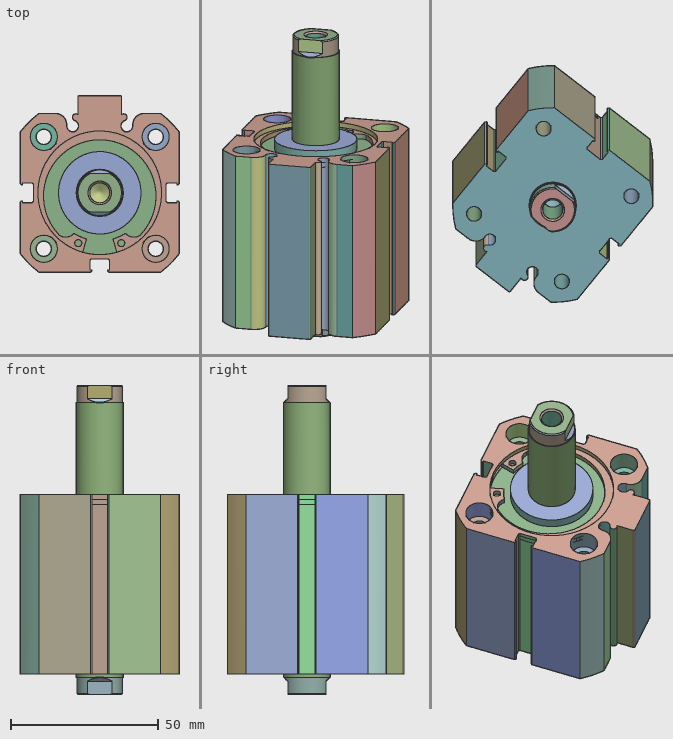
import cadquery as cq
import math

body_width = 54.0
half_width = body_width / 2
body_height = 61.0
corner_radius = 34.0

slot_half_width = 3.3
slot_depth = 4.5
slot_lip_half_width = 2.7
slot_lip_thickness = 0.85
slot_lip_chamfer = 0.45
slot_floor_chamfer = 0.4

rail_half_width = 7.45
rail_top_y = 33.0
rail_edge_radius = 0.5
barb_half_width = 9.3
barb_y = 25.7
barb_top_y = 26.65
groove_radius = 1.95
groove_center_x = 9.2
groove_center_y = 22.7
groove_neck_x = 8.45
groove_lip_radius = 4.0

mount_spacing = 38.0
mount_diameter = 5.1
mount_bore_diameter = 9.2
mount_bore_depth = 7.0

bore_diameter = 42.0
cover_face_depth = 3.4
cover_thickness = 10.0
cover_boss_diameter = 28.0

ring_thickness = 1.7
ring_groove_diameter = 44.66
ring_inner_radius = 19.1
ring_inner_offset = 1.1
ring_gap_half_angle = 16.0
ring_lug_inner_radius = 16.3
ring_lug_end_angle = 32.4
ring_throat_x = 11.6
ring_throat_y = -15.05
ring_throat_end_x = 13.7
ring_hole_x = 7.3
ring_hole_y = -17.1
ring_hole_diameter = 2.4

rod_diameter = 16.0
rod_top_extension = 37.0
rod_bottom_extension = 7.0
rod_end_diameter = 15.5
rod_end_length = 5.8
rod_end_chamfer = 0.4
rod_flats_width = 13.0
rod_flats_length = 4.5
rod_hole_diameter = 6.8
rod_hole_mouth_diameter = 8.0
rod_hole_depth = 18.0
rod_hole_tip_angle = 118.0


def rail_cutter(side):
    """Groove beside the mounting rail, open towards +Y; side is -1 or +1."""
    above = half_width + groove_lip_radius
    outer_x = groove_center_x + groove_radius
    lip_x = outer_x + groove_lip_radius
    lip_y = half_width - groove_lip_radius
    lip_shift = groove_lip_radius * math.sqrt(0.5)
    neck_y = groove_center_y + math.sqrt(groove_radius**2 - (groove_center_x - groove_neck_x)**2)
    floor_shift = groove_radius * math.sqrt(0.5)

    def at(x, y):
        return (side * x, y)

    return (
        cq.Workplane("XY")
        .moveTo(*at(rail_half_width, above))
        .lineTo(*at(rail_half_width, barb_top_y))
        .threePointArc(at(barb_half_width, barb_y), at(groove_neck_x, neck_y))
        .threePointArc(
            at(groove_center_x - floor_shift, groove_center_y - floor_shift),
            at(outer_x, groove_center_y),
        )
        .lineTo(*at(outer_x, lip_y))
        .threePointArc(at(lip_x - lip_shift, lip_y + lip_shift), at(lip_x, half_width))
        .lineTo(*at(lip_x, above))
        .close()
        .extrude(body_height)
    )


def slot_cutter():
    """T-slot cut into the -Y side."""
    mouth = slot_lip_half_width + slot_lip_chamfer
    lip_y = slot_lip_thickness - half_width
    floor_y = slot_depth - half_width
    return (
        cq.Workplane("XY")
        .polyline([
            (-mouth, -half_width),
            (-slot_lip_half_width, slot_lip_chamfer - half_width),
            (-slot_lip_half_width, lip_y),
            (-slot_half_width, lip_y),
            (-slot_half_width, floor_y),
            (slot_half_width, floor_y),
            (slot_half_width, lip_y),
            (slot_lip_half_width, lip_y),
            (slot_lip_half_width, slot_lip_chamfer - half_width),
            (mouth, -half_width),
        ])
        .close()
        .extrude(body_height)
        .faces(">Y").edges("|Z").chamfer(slot_floor_chamfer)
    )


def make_housing():
    square = cq.Workplane("XY").rect(body_width, body_width).extrude(body_height)
    housing = square.intersect(cq.Workplane("XY").circle(corner_radius).extrude(body_height))

    rail_height = rail_top_y - half_width
    rail = (
        cq.Workplane("XY")
        .center(0, half_width + rail_height / 2)
        .rect(2 * rail_half_width, rail_height)
        .extrude(body_height)
        .faces(">Y").edges("|Z").fillet(rail_edge_radius)
    )
    housing = housing.union(rail)
    for side in (-1, 1):
        housing = housing.cut(rail_cutter(side))

    for angle in (-90, 0, 90):
        housing = housing.cut(slot_cutter().rotate((0, 0, 0), (0, 0, 1), angle))

    pocket_depth = cover_face_depth + cover_thickness
    return (
        housing
        .faces(">Z").workplane(origin=(0, 0, body_height))
        .rect(mount_spacing, mount_spacing, forConstruction=True).vertices()
        .cboreHole(mount_diameter, mount_bore_diameter, mount_bore_depth)
        .faces(">Z").workplane(origin=(0, 0, body_height))
        .hole(bore_diameter, pocket_depth)
        .faces(">Z").workplane(origin=(0, 0, body_height))
        .hole(rod_diameter)
        .cut(
            cq.Workplane("XY", origin=(0, 0, body_height - cover_face_depth))
            .circle(ring_groove_diameter / 2).extrude(ring_thickness)
        )
    )


def make_cover():
    face_z = body_height - cover_face_depth
    return (
        cq.Workplane("XY", origin=(0, 0, face_z))
        .circle(bore_diameter / 2).extrude(-cover_thickness)
        .faces(">Z").workplane()
        .circle(cover_boss_diameter / 2).extrude(cover_face_depth)
        .faces(">Z").workplane()
        .hole(rod_diameter)
    )


def make_ring():
    """Internal retaining ring that rests on the cover, its lugs towards -Y."""
    def polar(radius, angle, side):
        turn = math.radians(angle)
        return (side * radius * math.sin(turn), -radius * math.cos(turn))

    outer_radius = ring_groove_diameter / 2
    throat_end_y = -ring_inner_offset - math.sqrt(ring_inner_radius**2 - ring_throat_end_x**2)
    lug_mid_angle = (ring_gap_half_angle + ring_lug_end_angle) / 2
    return (
        cq.Workplane("XY", origin=(0, 0, body_height - cover_face_depth))
        .moveTo(*polar(outer_radius, ring_gap_half_angle, 1))
        .threePointArc((0, outer_radius), polar(outer_radius, ring_gap_half_angle, -1))
        .lineTo(*polar(ring_lug_inner_radius, ring_gap_half_angle, -1))
        .threePointArc(
            polar(ring_lug_inner_radius, lug_mid_angle, -1),
            polar(ring_lug_inner_radius, ring_lug_end_angle, -1),
        )
        .threePointArc((-ring_throat_x, ring_throat_y), (-ring_throat_end_x, throat_end_y))
        .threePointArc((0, ring_inner_radius - ring_inner_offset), (ring_throat_end_x, throat_end_y))
        .threePointArc((ring_throat_x, ring_throat_y), polar(ring_lug_inner_radius, ring_lug_end_angle, 1))
        .threePointArc(
            polar(ring_lug_inner_radius, lug_mid_angle, 1),
            polar(ring_lug_inner_radius, ring_gap_half_angle, 1),
        )
        .close()
        .extrude(ring_thickness)
        .cut(
            cq.Workplane("XY", origin=(0, 0, body_height - cover_face_depth))
            .pushPoints([(-ring_hole_x, ring_hole_y), (ring_hole_x, ring_hole_y)])
            .circle(ring_hole_diameter / 2).extrude(ring_thickness)
        )
    )


def rod_flat_cutter(end_z, inward):
    """Pair of wrench flats at a rod end, each running out at 45 degrees."""
    flat_y = rod_flats_width / 2
    clear_y = rod_diameter
    runout = clear_y - flat_y
    flat_end_z = end_z + inward * rod_flats_length
    one_side = (
        cq.Workplane("YZ")
        .polyline([
            (flat_y, end_z),
            (flat_y, flat_end_z),
            (clear_y, flat_end_z + inward * runout),
            (clear_y, end_z),
        ])
        .close()
        .extrude(rod_diameter, both=True)
    )
    return one_side.union(one_side.mirror("XZ"))


def rod_hole_cutter(end_z, inward):
    """Blind tapped hole in a rod end, with a chamfered mouth and a drill-point floor."""
    radius = rod_hole_diameter / 2
    mouth_radius = rod_hole_mouth_diameter / 2
    tip_length = radius / math.tan(math.radians(rod_hole_tip_angle / 2))
    return (
        cq.Workplane("XZ")
        .polyline([
            (0, end_z),
            (mouth_radius, end_z),
            (radius, end_z + inward * (mouth_radius - radius)),
            (radius, end_z + inward * rod_hole_depth),
            (0, end_z + inward * (rod_hole_depth + tip_length)),
        ])
        .close()
        .revolve(360, (0, 0), (0, 1))
    )


def make_rod():
    bottom_z = -rod_bottom_extension
    top_z = body_height + rod_top_extension
    radius = rod_diameter / 2
    end_radius = rod_end_diameter / 2
    tip_radius = end_radius - rod_end_chamfer
    rod = (
        cq.Workplane("XZ")
        .polyline([
            (0, bottom_z),
            (tip_radius, bottom_z),
            (end_radius, bottom_z + rod_end_chamfer),
            (end_radius, bottom_z + rod_end_length),
            (radius, bottom_z + rod_end_length),
            (radius, top_z - rod_end_length),
            (end_radius, top_z - rod_end_length),
            (end_radius, top_z - rod_end_chamfer),
            (tip_radius, top_z),
            (0, top_z),
        ])
        .close()
        .revolve(360, (0, 0), (0, 1))
    )
    for end_z, inward in ((bottom_z, 1), (top_z, -1)):
        rod = rod.cut(rod_flat_cutter(end_z, inward))
        rod = rod.cut(rod_hole_cutter(end_z, inward))
    return rod


housing = make_housing()
cover = make_cover()
ring = make_ring()
rod = make_rod()

result = cq.Compound.makeCompound([housing.val(), cover.val(), ring.val(), rod.val()])